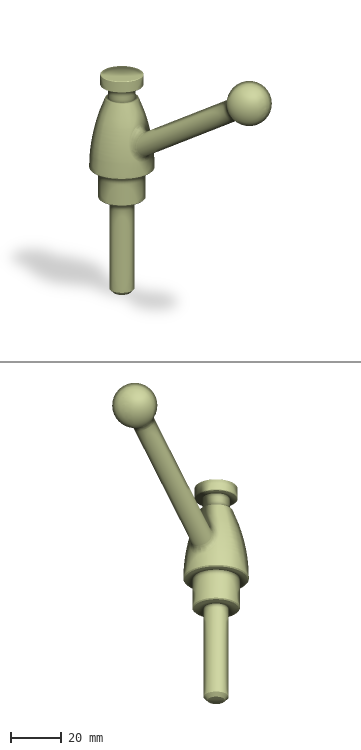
import cadquery as cq
import math

collar_bottom = 40.2
body_bottom = 53.0
body_top = 83.0
head_bottom = 88.4
head_top = 93.2
overall_height = 109.0

pin_radius = 10.0 / 2
collar_radius = 19.0 / 2
body_radius = 26.0 / 2
body_top_radius = 13.4 / 2
neck_radius = 11.0 / 2
head_radius = 17.2 / 2

tip_chamfer = 1.5
collar_chamfer = 0.4
body_rim_height = 1.0
body_edge_chamfer = 0.4
head_chamfer = 0.2
body_bulge = 1.5

overall_length = 92.9
ball_radius = 18.0 / 2
rod_radius = 9.0 / 2
rod_angle = math.radians(30)
handle_fillet = 2.9
ball_x = overall_length - body_radius - ball_radius
ball_z = overall_height - ball_radius


def turned_section(radius, bottom, top):
    """Make an upright cylinder on the main axis."""
    return cq.Workplane("XY").workplane(offset=bottom).circle(radius).extrude(top - bottom)


def make_body():
    """Revolve the bulging body, with a short straight rim at its base."""
    rim_top = body_bottom + body_rim_height
    chord_width = body_radius - body_top_radius
    chord_height = body_top - rim_top
    chord_length = math.hypot(chord_width, chord_height)
    arc_middle = (
        (body_radius + body_top_radius) / 2 + body_bulge * chord_height / chord_length,
        (rim_top + body_top) / 2 + body_bulge * chord_width / chord_length,
    )
    return (
        cq.Workplane("XZ")
        .moveTo(0, body_bottom)
        .lineTo(body_radius - body_edge_chamfer, body_bottom)
        .lineTo(body_radius, body_bottom + body_edge_chamfer)
        .lineTo(body_radius, rim_top)
        .threePointArc(arc_middle, (body_top_radius, body_top))
        .lineTo(0, body_top)
        .close()
        .revolve(360, (0, 0, 0), (0, 1, 0))
    )


def make_handle_body():
    """Join body, rod and ball, then round both ends of the rod."""
    direction = cq.Vector(math.cos(rod_angle), 0, math.sin(rod_angle))
    ball_centre = cq.Vector(ball_x, 0, ball_z)
    rod_length = ball_x / math.cos(rod_angle)
    rod = cq.Solid.makeCylinder(rod_radius, rod_length, ball_centre, direction * -1)
    ball = cq.Workplane("XY").sphere(ball_radius).translate(ball_centre)
    joined = make_body().union(cq.Workplane(rod)).union(ball)

    rod_face = joined.faces("%CYLINDER").faces(cq.selectors.NearestToPointSelector(
        (ball_x / 2, 0, ball_z - ball_x / 2 * math.tan(rod_angle))
    ))
    return joined.newObject(rod_face.edges("not %LINE").vals()).fillet(handle_fillet)


pin = turned_section(pin_radius, 0, collar_bottom).faces("<Z").chamfer(tip_chamfer)
collar = turned_section(collar_radius, collar_bottom, body_bottom).faces("<Z").chamfer(collar_chamfer)
neck = turned_section(neck_radius, body_top, head_bottom)
head = turned_section(head_radius, head_bottom, head_top).faces("<Z or >Z").chamfer(head_chamfer)

result = make_handle_body()
for section in (pin, collar, neck, head):
    result = result.union(section)